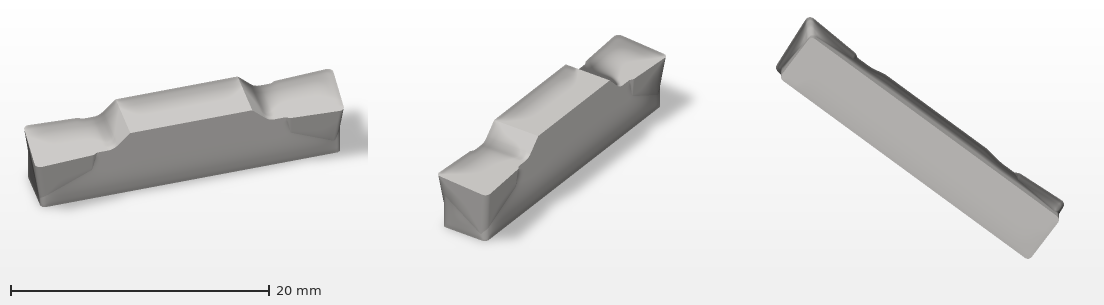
import cadquery as cq
import math

shank_width = 4.15
shank_length = 24.15
shank_corner_radius = 0.38
total_height = 5.98
shelf_height = 4.62
crown_length = 9.81
crown_slope_angle = 45.0
crown_foot_radius = 1.0

relief_angle = 7.0
lead_angle = 4.9
side_angle = 3.4
neck_angle = 30.0
head_reach = 12.45
head_root = 7.92
head_root_half_width = 2.27
head_base_half_width = 1.0
nose_radius = 0.43
neck_radius = 0.3

selection_margin = 0.25


def tangent(angle):
    return math.tan(math.radians(angle))


def make_shank():
    """Bar with rounded vertical corners and a crown with sloping ends."""
    half_length = shank_length / 2
    crown_half = crown_length / 2
    foot = crown_half + (total_height - shelf_height) / tangent(crown_slope_angle)
    side_profile = [
        (-half_length, 0),
        (half_length, 0),
        (half_length, shelf_height),
        (foot, shelf_height),
        (crown_half, total_height),
        (-crown_half, total_height),
        (-foot, shelf_height),
        (-half_length, shelf_height),
    ]
    bar = cq.Workplane("YZ").polyline(side_profile).close().extrude(shank_width / 2, both=True)
    bar = bar.edges("|Z").fillet(shank_corner_radius)
    foot_edges = cq.selectors.BoxSelector(
        (-shank_width, -foot - selection_margin, shelf_height - selection_margin),
        (shank_width, foot + selection_margin, shelf_height + selection_margin),
    )
    return bar.edges("|X").edges(foot_edges).fillet(crown_foot_radius)


def head_corner(side):
    """Sharp meeting point of the slanted end and one side (+1 or -1 in X)."""
    flare = tangent(side_angle)
    slant = -side * tangent(lead_angle)
    half_width = (head_root_half_width + (head_reach - head_root) * flare) / (1 - slant * flare)
    return side * half_width, head_reach + slant * half_width


def make_head():
    """Head at the +Y end, relieved on every side, with rounded noses and necks."""
    neck_run = (head_root_half_width - head_base_half_width) / tangent(neck_angle)
    head_base = head_root - neck_run
    outline = [
        (-head_base_half_width, head_base),
        (head_base_half_width, head_base),
        (head_root_half_width, head_root),
        head_corner(1),
        head_corner(-1),
        (-head_root_half_width, head_root),
    ]
    head = (
        cq.Workplane("XY", origin=(0, 0, shelf_height))
        .polyline(outline)
        .close()
        .extrude(-shelf_height, taper=relief_angle)
    )
    nose_zone = cq.selectors.BoxSelector(
        (-shank_width, (head_root + head_reach) / 2, selection_margin),
        (shank_width, head_reach + shank_width, shelf_height - selection_margin),
    )
    head = head.edges(nose_zone).fillet(nose_radius)
    neck_zone = cq.selectors.BoxSelector(
        (-shank_width, head_root - neck_run / 2, selection_margin),
        (shank_width, head_root + selection_margin, shelf_height - selection_margin),
    )
    return head.edges(neck_zone).fillet(neck_radius)


head = make_head()
opposite_head = head.rotate((0, 0, 0), (0, 0, 1), 180)
result = make_shank().union(head).union(opposite_head)